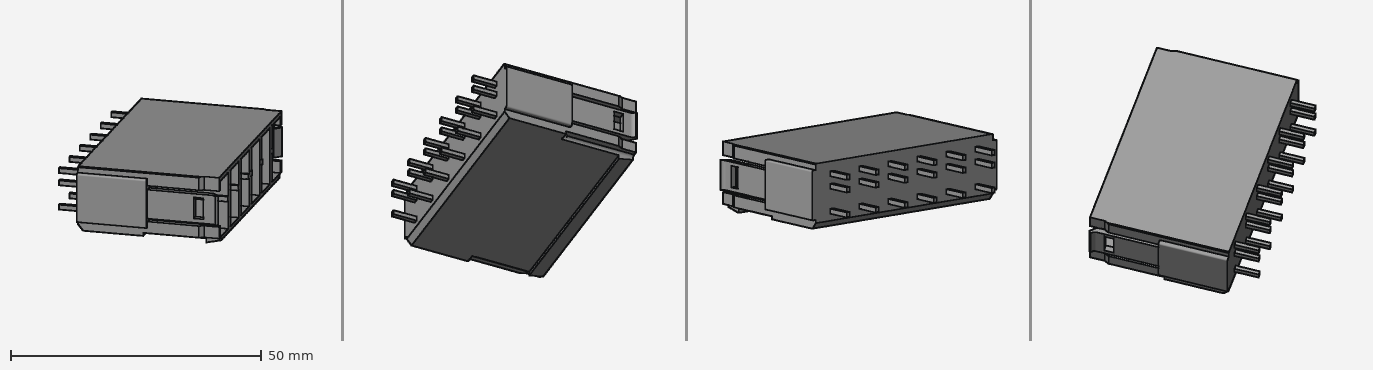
import cadquery as cq
import math

body_length = 29.2
body_width = 46.6
body_height = 13.45
half_width = body_width / 2
top_edge_chamfer = 0.2
lead_chamfer_x = 1.05
lead_chamfer_z = 1.3

pad_length = 14.45
pad_thickness = 0.95
pad_bottom = 1.95
pad_top = 12.15
pad_radius = 0.35

pin_columns = 6
pin_pitch = 7.6
pin_length = 5.05
pin_width = 0.85
pin_height = 1.0
pin_levels = [3.25, 8.35, 10.9]

side_wall = 1.3
floor_thickness = 0.7
roof_thickness = 0.95
outer_pin_y = pin_pitch * (pin_columns - 1) / 2
chamber_width = 2 * (half_width - side_wall - outer_pin_y)
chamber_length = body_length - pad_length
rib_bottom = 6.5
rib_height = 1.05
rib_depth = 0.5

gap_bottom = 3.1
gap_top = 10.65
arm_bottom = 3.75
arm_top = 9.8
window_start = 24.1
window_length = 2.0
window_bottom = 4.6
window_height = 4.4

hook_start = 27.75
hook_height = 0.55
hook_bend_radius = 0.9
hook_end = body_length - 0.05

recess_depth = 0.5
recess_ramp_start = 25.15
recess_ramp_end = 26.1
notch_start = 13.55
notch_height = 0.7
notch_radius = 0.65
latch_start = recess_ramp_end
latch_depth = 0.85
latch_tip_depth = 0.15
latch_width = 42.7
notch_depth = (body_width - latch_width) / 2


def box(x, y, z, length, width, height):
    """Box with its low-X, low-Z edge at x, z and centred on y."""
    return cq.Workplane("XY").box(length, width, height, centered=(False, True, False)).translate((x, y, z))


def both_sides(solid):
    """A solid on the -Y side together with its mirror image on the +Y side."""
    return solid.union(solid.mirror("XZ"))


def housing():
    block = box(0, 0, 0, body_length, body_width, body_height)
    block = block.edges("|X and >Z").chamfer(top_edge_chamfer)
    lead_in = (
        cq.Workplane("XZ")
        .polyline([(0, 0), (lead_chamfer_x, 0), (0, lead_chamfer_z)])
        .close()
        .extrude(half_width, both=True)
    )
    return block.cut(lead_in)


def side_pads():
    width = body_width + 2 * pad_thickness
    pads = box(0, 0, pad_bottom, pad_length, width, pad_top - pad_bottom)
    return pads.edges("|X").fillet(pad_radius)


def end_recess():
    """Material taken off one side to narrow the plug end, behind a short ramp."""
    outline = [
        (recess_ramp_start, -half_width),
        (recess_ramp_end, -half_width + recess_depth),
        (body_length, -half_width + recess_depth),
        (body_length, -half_width),
    ]
    return cq.Workplane("XY").polyline(outline).close().extrude(body_height)


def lower_notch():
    """Cutter along one lower edge, rounded where its roof meets its inner wall."""
    y = -half_width + notch_depth / 2
    cutter = box(notch_start, y, 0, body_length - notch_start, notch_depth, notch_height)
    return cutter.edges("|X and >Y and >Z").fillet(notch_radius)


def column_positions():
    return [i * pin_pitch - outer_pin_y for i in range(pin_columns)]


def chamber(y):
    """Open plug chamber with a rib on its wall facing the middle of the part."""
    height = body_height - floor_thickness - roof_thickness
    space = box(pad_length, y, floor_thickness, chamber_length, chamber_width, height)
    inward = -math.copysign(1, y)
    rib_y = y + inward * (chamber_width - rib_depth) / 2
    rib = box(pad_length, rib_y, rib_bottom, chamber_length, rib_depth, rib_height)
    return space.cut(rib)


def arm_opening():
    """Opening through one side wall that leaves room for the spring arm."""
    y = -half_width + side_wall / 2
    return box(pad_length, y, gap_bottom, chamber_length, side_wall, gap_top - gap_bottom)


def spring_arm():
    """Windowed arm on the -Y side with a bent, rounded hook and a 45 degree end."""
    outer = -half_width
    inner = outer + side_wall
    crest = outer - hook_height
    sin_45 = math.sqrt(0.5)
    bend_x = hook_start + hook_bend_radius * sin_45
    bend_y = outer - hook_bend_radius * (1 - sin_45)
    bend_mid_x = hook_start + hook_bend_radius * math.sin(math.pi / 8)
    bend_mid_y = outer - hook_bend_radius * (1 - math.cos(math.pi / 8))
    crest_x = bend_x + bend_y - crest
    tip_radius = hook_end - crest_x
    tip_y = crest + tip_radius
    tip_mid_x = crest_x + tip_radius * sin_45
    tip_mid_y = tip_y - tip_radius * sin_45
    arm = (
        cq.Workplane("XY", origin=(0, 0, arm_bottom))
        .moveTo(pad_length, inner)
        .lineTo(pad_length, outer)
        .lineTo(hook_start, outer)
        .threePointArc((bend_mid_x, bend_mid_y), (bend_x, bend_y))
        .lineTo(crest_x, crest)
        .threePointArc((tip_mid_x, tip_mid_y), (hook_end, tip_y))
        .lineTo(hook_end - (inner - tip_y), inner)
        .close()
        .extrude(arm_top - arm_bottom)
    )
    window = box(window_start, outer, window_bottom, window_length, 2 * side_wall, window_height)
    return arm.cut(window)


def bottom_latch():
    """Wedge under the plug end, shallow at the tip and square at the back."""
    outline = [
        (latch_start, 0),
        (latch_start, -latch_depth),
        (body_length, -latch_tip_depth),
        (body_length, 0),
    ]
    return cq.Workplane("XZ").polyline(outline).close().extrude(latch_width / 2, both=True)


def pin(y, z):
    """Square-ended pin centred on y, z."""
    return box(-pin_length, y, z - pin_height / 2, pin_length, pin_width, pin_height)


result = housing().union(side_pads())
result = result.cut(both_sides(end_recess()))
result = result.cut(both_sides(lower_notch()))
result = result.cut(both_sides(arm_opening()))
for column_y in column_positions():
    result = result.cut(chamber(column_y))
result = result.union(both_sides(spring_arm())).union(bottom_latch())
for column_y in column_positions():
    for pin_z in pin_levels:
        result = result.union(pin(column_y, pin_z))